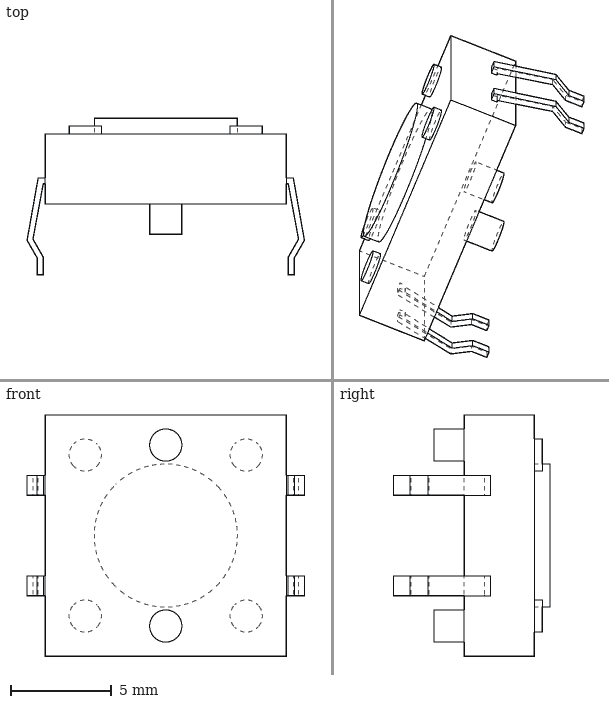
import cadquery as cq

housing_side = 12.0
housing_depth = 3.49
half_side = housing_side / 2

button_diameter = 7.12
button_height = 0.79

stud_diameter = 1.6
stud_height = 0.4
stud_offset = 4.0

post_diameter = 1.6
post_length = 1.5
post_offset = 4.5

overall_width = 13.8
lead_width = 1.0
lead_offset = 2.5
lead_thickness = 0.3
lead_root_y = 1.31
lead_root_reach = 0.35
root_inner_reach = 0.08
lead_knee_y = -1.8
lead_ankle_y = -2.69
lead_tip_y = -3.52
foot_inner_reach = 0.08
bend_shift = 0.05


def make_block():
    return cq.Workplane("XY").box(
        housing_side, housing_depth, housing_side, centered=(True, False, True)
    )


def make_cylinder(diameter, length, x, y, z):
    """Cylinder along Y that starts at (x, y, z) and runs toward +Y."""
    return (
        cq.Workplane("XZ", origin=(x, y, z))
        .circle(diameter / 2)
        .extrude(-length)
    )


def make_right_lead(z):
    """Lead on the +X side: short root tab, outward leg, inward bend, straight foot."""
    root_outer_x = half_side + lead_root_reach
    root_inner_x = half_side + root_inner_reach
    root_bottom_y = lead_root_y - lead_thickness
    knee_outer_x = overall_width / 2
    knee_inner_x = knee_outer_x - lead_thickness
    foot_inner_x = half_side + foot_inner_reach
    foot_outer_x = foot_inner_x + lead_thickness
    outline = [
        (half_side, lead_root_y),
        (root_outer_x, lead_root_y),
        (knee_outer_x, lead_knee_y),
        (foot_outer_x, lead_ankle_y),
        (foot_outer_x, lead_tip_y),
        (foot_inner_x, lead_tip_y),
        (foot_inner_x, lead_ankle_y + bend_shift),
        (knee_inner_x, lead_knee_y + bend_shift),
        (root_inner_x, root_bottom_y),
        (half_side, root_bottom_y),
    ]
    return (
        cq.Workplane("XY", origin=(0, 0, z - lead_width / 2))
        .polyline(outline)
        .close()
        .extrude(lead_width)
    )


def make_housing():
    """Block with its studs, posts and leads as one body."""
    body = make_block()
    for side in (-1, 1):
        body = body.union(
            make_cylinder(post_diameter, post_length, 0, -post_length, side * post_offset)
        )
        for column in (-1, 1):
            body = body.union(
                make_cylinder(
                    stud_diameter, stud_height, column * stud_offset, housing_depth, side * stud_offset
                )
            )
        right_lead = make_right_lead(side * lead_offset)
        body = body.union(right_lead).union(right_lead.mirror("YZ"))
    return body


def make_button():
    return make_cylinder(button_diameter, button_height, 0, housing_depth, 0)


housing = make_housing()
button = make_button()

result = cq.Compound.makeCompound([housing.solids().val(), button.val()])